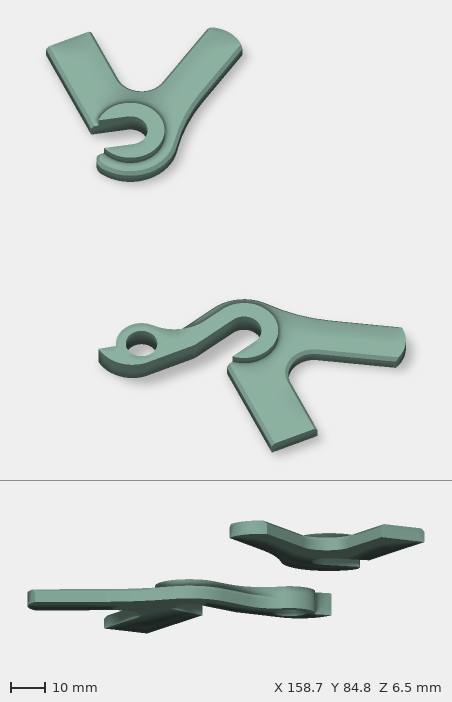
import cadquery as cq
import math


overall_length = 158.7
axle_offset = 40.0
plate_thickness = 4.0
pad_thickness = 6.5
edge_chamfer = 1.0

slot_radius = 5.1
pad_radius = 10.0
plate_radius = 14.0
slot_tilt = 15.0

arm_end = overall_length / 2 - axle_offset
arm_top = 5.5
arm_bottom = -9.0
stay_angle = 58.5
stay_width = 12.5
stay_outer_offset = 9.2
stay_outer_reach = 45.0
stay_inner_reach = 45.1
stay_end_radius = 10.0
crotch_radius = 7.5
shoulder_radius = 50.0

hook_tip_start_angle = 241.0
hook_wall_length = 10.6

hanger_hole = (-8.1, -29.2)
hanger_hole_radius = 4.6
lobe_radius = 7.5
hanger_plate_bend = 10.0
hanger_pad_bend = 14.1
hanger_back_x = -1.19
hanger_back_bottom = -31.1
stop_corner_angle = 252.0
stop_tip = (-11.6, -41.5)
stop_bulge = (-4.1, -37.8)


def polar(radius, degrees):
    angle = math.radians(degrees)
    return (radius * math.cos(angle), radius * math.sin(angle))


def offset_point(along, across, degrees):
    """Point at a distance along a direction and another to its left."""
    ax, ay = polar(along, degrees)
    lx, ly = polar(across, degrees + 90)
    return (ax + lx, ay + ly)


slot_direction = slot_tilt - 90
hook_side = slot_direction - 90
slot_top = polar(slot_radius, slot_direction + 180)
slot_arm_tangent = polar(slot_radius, slot_tilt)
slot_hook_tangent = polar(slot_radius, hook_side)
slot_arm_corner = (
    slot_arm_tangent[0] + (slot_arm_tangent[1] - arm_bottom) * math.tan(math.radians(slot_tilt)),
    arm_bottom,
)
pad_wall_length = math.sqrt(pad_radius**2 - slot_radius**2)
pad_start = offset_point(pad_wall_length, slot_radius, slot_direction)
pad_hook_end = offset_point(pad_wall_length, -slot_radius, slot_direction)

stay_inner_offset = stay_outer_offset - stay_width
stay_outer_corner = offset_point(stay_outer_reach, stay_outer_offset, stay_angle)
stay_inner_corner = offset_point(stay_inner_reach, stay_inner_offset, stay_angle)
crotch_reach = (
    arm_top + crotch_radius - (stay_inner_offset - crotch_radius) * math.cos(math.radians(stay_angle))
) / math.sin(math.radians(stay_angle))
crotch_stay_point = offset_point(crotch_reach, stay_inner_offset, stay_angle)
crotch_center = offset_point(crotch_reach, stay_inner_offset - crotch_radius, stay_angle)
crotch_arm_point = (crotch_center[0], arm_top)
shoulder_offset = stay_outer_offset + shoulder_radius
shoulder_reach = math.sqrt((plate_radius + shoulder_radius) ** 2 - shoulder_offset**2)
shoulder_stay_point = offset_point(shoulder_reach, stay_outer_offset, stay_angle)
shoulder_angle = stay_angle + math.degrees(math.atan2(shoulder_offset, shoulder_reach))


def draw_arms():
    """Open outline from the slot around both arms to the plate round."""
    return (
        cq.Workplane("XY")
        .moveTo(*slot_arm_corner)
        .lineTo(arm_end, arm_bottom)
        .lineTo(arm_end, arm_top)
        .lineTo(*crotch_arm_point)
        .tangentArcPoint(crotch_stay_point, relative=False)
        .lineTo(*stay_inner_corner)
        .radiusArc(stay_outer_corner, -stay_end_radius)
        .lineTo(*shoulder_stay_point)
        .tangentArcPoint(polar(plate_radius, shoulder_angle), relative=False)
    )


def close_slot(outline, start):
    """Close an outline up the hook wall, over the slot top and down the arm wall."""
    return (
        outline.lineTo(*slot_hook_tangent)
        .threePointArc(slot_top, slot_arm_tangent)
        .lineTo(*start)
        .close()
    )


def draw_hanger(outline, edge_radius, bend_radius):
    """Continue an outline from a round about the axle down around the hanger."""
    hole_x, hole_y = hanger_hole
    tilt = math.radians(slot_direction)
    hole_along = hole_x * math.cos(tilt) + hole_y * math.sin(tilt)
    hole_across = hole_x * math.sin(tilt) - hole_y * math.cos(tilt)
    bend_across = edge_radius + bend_radius
    bend_to_hole = lobe_radius + bend_radius
    bend_along = hole_along - math.sqrt(bend_to_hole**2 - (bend_across - hole_across) ** 2)
    bend_start = offset_point(bend_along, -edge_radius, slot_direction)
    bend_x, bend_y = offset_point(bend_along, -bend_across, slot_direction)
    share = lobe_radius / bend_to_hole
    bend_end = (hole_x + (bend_x - hole_x) * share, hole_y + (bend_y - hole_y) * share)
    stop_x, stop_y = polar(lobe_radius, stop_corner_angle)
    wall_drop = (hanger_back_x - slot_hook_tangent[0]) / math.tan(math.radians(slot_tilt))
    return (
        outline.lineTo(*bend_start)
        .tangentArcPoint(bend_end, relative=False)
        .threePointArc((hole_x - lobe_radius, hole_y), (hole_x + stop_x, hole_y + stop_y))
        .lineTo(*stop_tip)
        .threePointArc(stop_bulge, (hanger_back_x, hanger_back_bottom))
        .lineTo(hanger_back_x, slot_hook_tangent[1] - wall_drop)
    )


def chamfer_plate(plate):
    """Bevel the long top edges; each bevel runs on along its tangent edges."""
    stay_middle = offset_point((stay_outer_reach + shoulder_reach) / 2, stay_outer_offset, stay_angle)
    edge_points = [
        ((slot_arm_corner[0] + arm_end) / 2, arm_bottom),
        ((crotch_arm_point[0] + arm_end) / 2, arm_top),
        stay_middle,
    ]
    for x, y in edge_points:
        nearest = cq.selectors.NearestToPointSelector((x, y, plate_thickness))
        plate = plate.edges(nearest).chamfer(edge_chamfer)
    return plate


def make_hook_dropout():
    hook_wall_end = offset_point(hook_wall_length, -slot_radius, slot_direction)
    outline = (
        draw_arms()
        .threePointArc(polar(plate_radius, 180), polar(plate_radius, hook_tip_start_angle))
        .tangentArcPoint(hook_wall_end, relative=False)
    )
    plate = chamfer_plate(close_slot(outline, slot_arm_corner).extrude(plate_thickness))
    pad_outline = (
        cq.Workplane("XY")
        .moveTo(*pad_start)
        .threePointArc(polar(pad_radius, slot_direction + 180), pad_hook_end)
    )
    return plate.union(close_slot(pad_outline, pad_start).extrude(pad_thickness))


def make_hanger_dropout():
    outline = draw_arms().threePointArc(polar(plate_radius, 180), polar(plate_radius, hook_side))
    outline = draw_hanger(outline, plate_radius, hanger_plate_bend)
    plate = chamfer_plate(close_slot(outline, slot_arm_corner).extrude(plate_thickness))
    pad_outline = (
        cq.Workplane("XY")
        .moveTo(*pad_start)
        .threePointArc(polar(pad_radius, slot_direction + 180), polar(pad_radius, hook_side))
    )
    pad_outline = draw_hanger(pad_outline, pad_radius, hanger_pad_bend)
    pad = close_slot(pad_outline, pad_start).extrude(pad_thickness)
    hole = cq.Workplane("XY").center(*hanger_hole).circle(hanger_hole_radius).extrude(pad_thickness)
    return plate.union(pad).cut(hole)


left_dropout = make_hook_dropout().mirror("YZ").translate((-axle_offset, 0, 0))
right_dropout = make_hanger_dropout().translate((axle_offset, 0, 0))

result = cq.Compound.makeCompound([left_dropout.solids().val(), right_dropout.solids().val()])